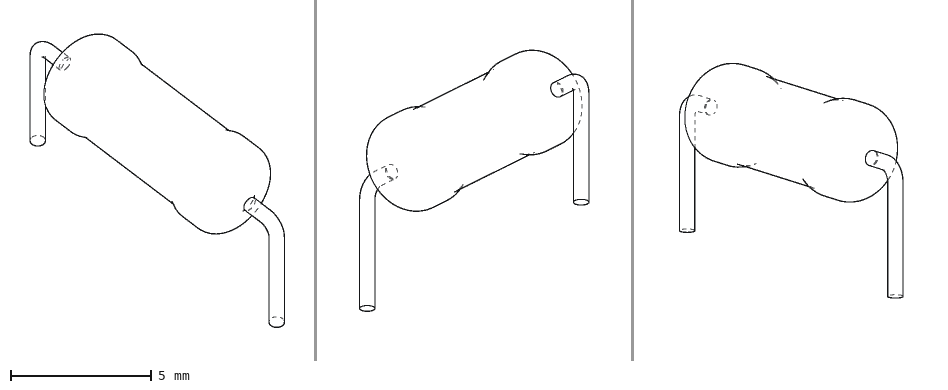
import cadquery as cq

overall_length = 13.25
lead_bottom_z = -4.8

lead_diameter = 0.55
lead_radius = lead_diameter / 2
bend_radius = 0.6
leg_x = overall_length / 2 - lead_radius

waist_radius = 3.3 / 2
cap_radius = 3.6 / 2
step_middle_radius = (waist_radius + cap_radius) / 2
end_face_outer_radius = 1.23
end_face_inner_radius = 0.66
cone_large_radius = 0.55
cone_small_radius = 0.36

waist_end = 2.33
cap_start = 2.97
step_middle = (waist_end + cap_start) / 2
cap_end = 3.78
end_face_outer_x = 4.45
end_face_inner_x = 4.53
cone_large_x = 4.58
cone_small_x = 4.75
body_tip = 4.9


def tangent_arc_radius(run, rise):
    """Radius of an arc that starts parallel to X and moves by run along X and by rise away from it."""
    return (run**2 + rise**2) / (2 * rise)


neck_arc_radius = tangent_arc_radius(body_tip - cone_small_x, cone_small_radius - lead_radius)
cap_arc_radius = tangent_arc_radius(end_face_outer_x - cap_end, cap_radius - end_face_outer_radius)


def make_body_half():
    """Half of the body on +X: waist, S-shaped step, rounded cap and flared neck down to the lead."""
    profile = (
        cq.Workplane("XZ")
        .lineTo(body_tip, 0)
        .lineTo(body_tip, lead_radius)
        .radiusArc((cone_small_x, cone_small_radius), neck_arc_radius)
        .lineTo(cone_large_x, cone_large_radius)
        .tangentArcPoint((end_face_inner_x, end_face_inner_radius), relative=False)
        .lineTo(end_face_outer_x, end_face_outer_radius)
        .radiusArc((cap_end, cap_radius), -cap_arc_radius)
        .lineTo(cap_start, cap_radius)
        .tangentArcPoint((step_middle, step_middle_radius), relative=False)
        .tangentArcPoint((waist_end, waist_radius), relative=False)
        .lineTo(0, waist_radius)
        .close()
    )
    return profile.revolve(360, (0, 0, 0), (1, 0, 0))


def make_body():
    half = make_body_half()
    return half.union(half.rotate((0, 0, 0), (0, 0, 1), 180)).clean()


def make_lead(side):
    """A round wire from the body tip, bent down into a straight leg; side is -1 or +1 along X."""
    path = (
        cq.Workplane("XZ")
        .moveTo(side * body_tip, 0)
        .lineTo(side * (leg_x - bend_radius), 0)
        .tangentArcPoint((side * leg_x, -bend_radius), relative=False)
        .lineTo(side * leg_x, lead_bottom_z)
    )
    section = cq.Workplane("YZ", origin=(side * body_tip, 0, 0)).circle(lead_radius)
    return section.sweep(path)


body = make_body()
leads = [make_lead(side) for side in (-1, 1)]

result = cq.Compound.makeCompound([body.solids().val(), *[lead.val() for lead in leads]])